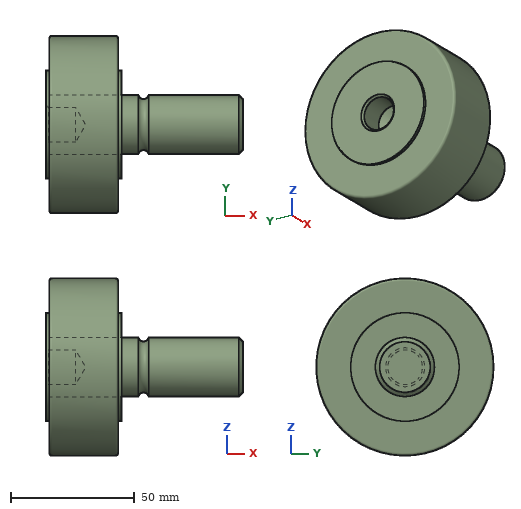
import cadquery as cq
import math

total_length = 80.0

roller_diameter = 72.0
roller_width = 28.0
roller_edge_radius = 1.1

flange_diameter = 44.0
flange_thickness = 1.4

shank_diameter = 24.0
shank_chamfer = 1.8

groove_center_x = 39.6
groove_width = 4.2
groove_depth = 1.6

hole_diameter = 14.0
hole_mouth_diameter = 15.8
hole_depth = 12.0
drill_point_angle = 120.0

roller_start = flange_thickness
roller_end = roller_start + roller_width


def disc(diameter, start, length):
    """Cylinder on the X axis, running from start in +X."""
    return cq.Workplane("YZ", origin=(start, 0, 0)).circle(diameter / 2).extrude(length)


def make_roller():
    """Tyre with rounded rims, bored to run on the shank."""
    tyre = disc(roller_diameter, roller_start, roller_width).edges().fillet(roller_edge_radius)
    return tyre.cut(disc(shank_diameter, roller_start, roller_width))


def make_washer():
    """Retaining washer behind the roller."""
    ring = disc(flange_diameter, roller_end, flange_thickness)
    return ring.cut(disc(shank_diameter, roller_end, flange_thickness))


def make_stud():
    """Shank and head turned in one piece, with a relief groove and a blind hole."""
    shank_radius = shank_diameter / 2
    hole_radius = hole_diameter / 2
    mouth_radius = hole_mouth_diameter / 2
    mouth_depth = mouth_radius - hole_radius
    point_depth = hole_radius / math.tan(math.radians(drill_point_angle / 2))

    profile = (
        cq.Workplane("XY")
        .moveTo(hole_depth + point_depth, 0)
        .lineTo(hole_depth, hole_radius)
        .lineTo(mouth_depth, hole_radius)
        .lineTo(0, mouth_radius)
        .lineTo(0, flange_diameter / 2)
        .lineTo(flange_thickness, flange_diameter / 2)
        .lineTo(flange_thickness, shank_radius)
        .lineTo(groove_center_x - groove_width / 2, shank_radius)
        .threePointArc(
            (groove_center_x, shank_radius - groove_depth),
            (groove_center_x + groove_width / 2, shank_radius),
        )
        .lineTo(total_length - shank_chamfer, shank_radius)
        .lineTo(total_length, shank_radius - shank_chamfer)
        .lineTo(total_length, 0)
        .close()
    )
    return profile.revolve(360, (0, 0, 0), (1, 0, 0))


roller = make_roller()
washer = make_washer()
stud = make_stud()

result = cq.Compound.makeCompound([roller.val(), washer.val(), stud.val()])